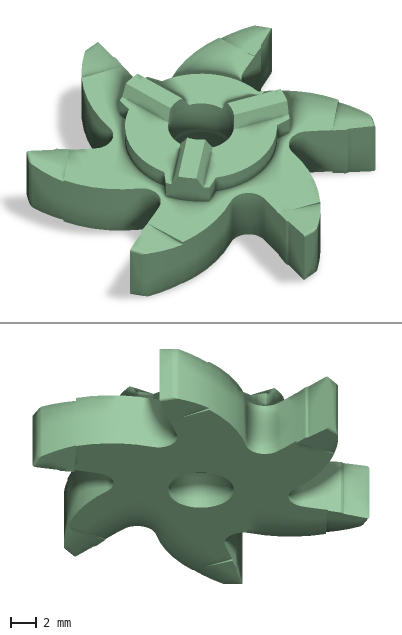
import cadquery as cq
import math

tooth_count = 6
tooth_pitch = 360 / tooth_count
plate_thickness = 4.5
bore_radius = 2.6

gullet_radius = 1.5
gullet_centre_radius = 8.45
gullet_centre_angle = -9.74

flank_start_angle = 90
back_start_angle = 212

cutting_edge = (13.85, 0)
land_end = (13.73, 1.24)
notch_outer = (11.75, 0)
notch_inner = (11.5, -0.1)
flank_sagitta = -0.04

tip_start_radius = 10.42
tip_line_angle = 76
tip_step_height = 0.07
tip_flare_slope = math.tan(math.radians(2.3))
tip_relief_slope = math.tan(math.radians(4.5))
tip_edge_radius = 0.2
land_corner_depth = 0.064
land_corner_angle = 23
tooth_stagger = 0.1
tip_zone_size = 9
cutter_size = 20
corner_cutter_size = 1

key_count = 3
first_key_angle = 75
disc_radius = 6
disc_thickness = 1.5
lug_radius = 7.05
lug_tip_width = 3.5
lug_side_angle = 15
key_height = 1
key_base_width = 2.6
key_side_angle = 30

spigot_radius = 4
spigot_depth = 1.2
bore_taper_height = 0.4
bore_taper_width = 0.08


def polar(radius, angle, centre=(0, 0)):
    """The point at a distance and direction (degrees) from a centre."""
    a = math.radians(angle)
    return (centre[0] + radius * math.cos(a), centre[1] + radius * math.sin(a))


def turned(point, angle):
    """The point turned about the Z axis."""
    return polar(math.hypot(*point), angle + math.degrees(math.atan2(point[1], point[0])))


def star_outline(workplane):
    """Closed outline of all teeth, followed clockwise."""
    gullet_centre = polar(gullet_centre_radius, gullet_centre_angle)
    gullet_middle_angle = (flank_start_angle + back_start_angle) / 2
    flank_start = polar(gullet_radius, flank_start_angle, gullet_centre)
    gullet_middle = polar(gullet_radius, gullet_middle_angle, gullet_centre)
    back_start = polar(gullet_radius, back_start_angle, gullet_centre)

    outline = workplane.moveTo(*turned(flank_start, tooth_pitch))
    for i in range(tooth_count):
        angle = -i * tooth_pitch
        gullet_angle = angle + tooth_pitch
        outline = (
            outline.threePointArc(turned(gullet_middle, gullet_angle), turned(back_start, gullet_angle))
            .tangentArcPoint(turned(land_end, angle), relative=False)
            .lineTo(*turned(cutting_edge, angle))
            .lineTo(*turned(notch_outer, angle))
            .lineTo(*turned(notch_inner, angle))
            .sagittaArc(turned(flank_start, angle), flank_sagitta)
        )
    return outline.close()


def tip_zone():
    """Block covering the tip of the tooth on +X, beyond the line where its ground faces start."""
    return (
        cq.Workplane("XY")
        .box(tip_zone_size, tip_zone_size, cutter_size, centered=(True, False, True))
        .rotate((0, 0, 0), (0, 0, 1), tip_line_angle - 180)
        .translate((tip_start_radius, 0, 0))
    )


def tip_face_cutter(side):
    """Block outside the tilted tip face; side is +1 for the top face and -1 for the bottom face."""
    face_height = plate_thickness / 2 + tip_step_height
    plane = cq.Plane(
        origin=(tip_start_radius, 0, plate_thickness / 2 + side * face_height),
        xDir=(1, 0, side * tip_flare_slope),
        normal=(-tip_flare_slope, tip_relief_slope, side),
    )
    return cq.Workplane(plane).rect(cutter_size, cutter_size).extrude(cutter_size)


def land_corner_cutter():
    """Block that cuts a narrow flat along the corner between land and tooth back."""
    return (
        cq.Workplane("XY")
        .box(corner_cutter_size, corner_cutter_size, cutter_size, centered=(False, True, True))
        .translate((-land_corner_depth, 0, 0))
        .rotate((0, 0, 0), (0, 0, 1), land_corner_angle)
        .translate((*land_end, 0))
    )


def tooth_tip():
    """Flared tip of the tooth on +X, with its outermost edges rounded top and bottom."""
    blank = star_outline(cq.Workplane("XY").workplane(offset=-plate_thickness)).extrude(3 * plate_thickness)
    tip = blank.intersect(tip_zone())
    for side in (1, -1):
        tip = tip.cut(tip_face_cutter(side))
    land_middle = ((cutting_edge[0] + land_end[0]) / 2, (cutting_edge[1] + land_end[1]) / 2)
    for z in (0, plate_thickness):
        tip = tip.edges(cq.selectors.NearestToPointSelector((*land_middle, z))).fillet(tip_edge_radius)
    return tip.cut(land_corner_cutter())


def make_star_wheel():
    """Plate with six ground tips, bored and counterbored for the hub."""
    wheel = star_outline(cq.Workplane("XY")).extrude(plate_thickness)
    tip = tooth_tip()
    for i in range(tooth_count):
        angle = i * tooth_pitch
        drop = tooth_stagger * (i % 2)
        wheel = wheel.cut(tip_zone().rotate((0, 0, 0), (0, 0, 1), angle))
        wheel = wheel.union(tip.rotate((0, 0, 0), (0, 0, 1), angle).translate((0, 0, -drop)))

    seat_z = plate_thickness - spigot_depth
    taper_radius = bore_radius + bore_taper_width
    stepped_bore = (
        cq.Workplane("XZ")
        .moveTo(0, 0)
        .lineTo(bore_radius, 0)
        .lineTo(bore_radius, seat_z - bore_taper_height)
        .lineTo(taper_radius, seat_z)
        .lineTo(spigot_radius, seat_z)
        .lineTo(spigot_radius, plate_thickness)
        .lineTo(0, plate_thickness)
        .close()
        .revolve(360, (0, 0, 0), (0, 1, 0))
    )
    return wheel.cut(stepped_bore)


def make_lug():
    """Lug along +X whose sides converge towards its rounded outer end."""
    half_tip = lug_tip_width / 2
    end_x = math.sqrt(lug_radius**2 - half_tip**2)
    half_root = half_tip + end_x * math.tan(math.radians(lug_side_angle))
    return (
        cq.Workplane("XY")
        .workplane(offset=plate_thickness)
        .moveTo(0, -half_root)
        .lineTo(end_x, -half_tip)
        .threePointArc((lug_radius, 0), (end_x, half_tip))
        .lineTo(0, half_root)
        .close()
        .extrude(disc_thickness)
    )


def make_key():
    """Key along +X with sloping sides, standing on the disc and ending flush with the lug."""
    base_z = plate_thickness + disc_thickness
    half_base = key_base_width / 2
    half_top = half_base - key_height * math.tan(math.radians(key_side_angle))
    bar = (
        cq.Workplane("YZ")
        .moveTo(-half_base, base_z)
        .lineTo(half_base, base_z)
        .lineTo(half_top, base_z + key_height)
        .lineTo(-half_top, base_z + key_height)
        .close()
        .extrude(lug_radius)
    )
    reach = cq.Workplane("XY").workplane(offset=base_z).circle(lug_radius).extrude(key_height)
    return bar.intersect(reach)


def make_hub():
    """Disc, spigot, lugs and keys in one piece, bored through."""
    spigot_z = plate_thickness - spigot_depth
    disc = cq.Workplane("XY").workplane(offset=plate_thickness).circle(disc_radius).extrude(disc_thickness)
    spigot = cq.Workplane("XY").workplane(offset=spigot_z).circle(spigot_radius).extrude(spigot_depth)
    hub = disc.union(spigot)
    driver = make_lug().union(make_key())
    for i in range(key_count):
        hub = hub.union(driver.rotate((0, 0, 0), (0, 0, 1), first_key_angle + i * 360 / key_count))
    hub_height = spigot_depth + disc_thickness + key_height
    bore = cq.Workplane("XY").workplane(offset=spigot_z).circle(bore_radius).extrude(hub_height)
    return hub.cut(bore)


star_wheel = make_star_wheel()
hub = make_hub()

result = cq.Compound.makeCompound([star_wheel.val(), hub.val()])